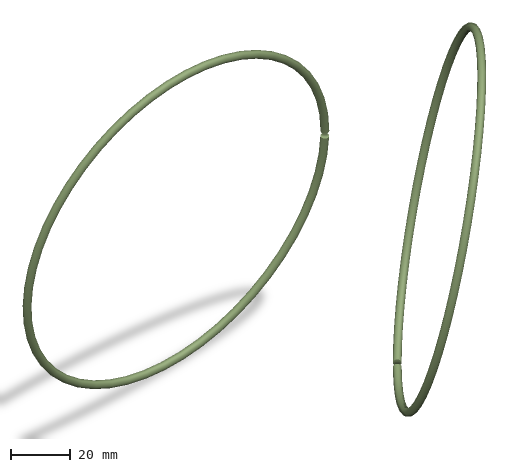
import cadquery as cq

outer_diameter = 133.5
wire_diameter = 3.0
gap_angle = 2.0

wire_radius = wire_diameter / 2
centerline_radius = outer_diameter / 2 - wire_radius

sweep_angle = 360 - gap_angle

result = (
    cq.Workplane("XY")
    .center(0, centerline_radius)
    .circle(wire_radius)
    .revolve(sweep_angle, (0, -centerline_radius, 0), (1, -centerline_radius, 0))
)